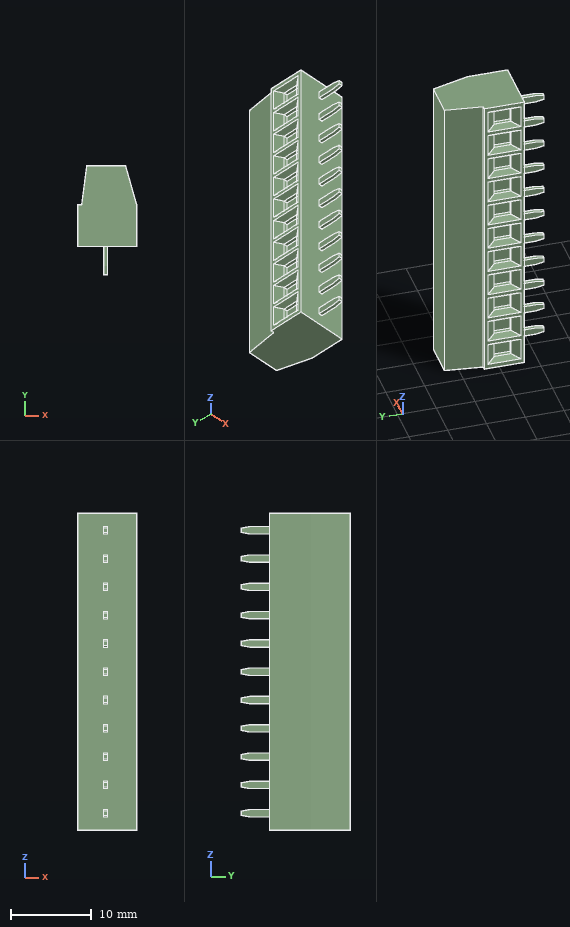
import cadquery as cq

length = 39.2
width = 7.3
depth = 10.0
pole_count = 11
end_margin = 2.1
pitch = (length - 2 * end_margin) / (pole_count - 1)

base_depth = 5.17
ledge = 0.47
entry_side_inset = 1.1
plain_side_inset = 1.37

rim = 0.47
entry_mouth_y = base_depth - 2 * rim
entry_mouth_z = 2.95
entry_throat_y = 2.15
entry_throat_z = 2.0
funnel_depth = 0.8
pocket_depth = 0.5

pin_length = 3.5
pin_thickness = 0.5
pin_width = 0.95
pin_tip_width = 0.55
pin_taper_length = 1.05
pin_x = 3.45

pole_heights = [end_margin + i * pitch for i in range(pole_count)]


def make_housing():
    """Prism along Z; wire-entry face at X = 0, pin face at Y = 0."""
    profile = [
        (0, 0),
        (width, 0),
        (width, base_depth),
        (width - plain_side_inset, depth),
        (entry_side_inset, depth),
        (ledge, base_depth),
        (0, base_depth),
    ]
    return cq.Workplane("XY").polyline(profile).close().extrude(length)


def make_entry(z):
    """Cutter for one wire entry, running in +X from the entry face."""
    mouth = cq.Workplane("YZ", origin=(0, base_depth / 2, z))
    funnel = (
        mouth.rect(entry_mouth_y, entry_mouth_z)
        .workplane(offset=funnel_depth)
        .rect(entry_throat_y, entry_throat_z)
        .loft(ruled=True)
    )
    pocket = mouth.rect(entry_throat_y, entry_throat_z).extrude(funnel_depth + pocket_depth)
    return funnel.union(pocket)


def make_pin(z):
    """Flat pin pointing in -Y, with its tip narrowed along Z."""
    half_width = pin_width / 2
    half_tip = pin_tip_width / 2
    taper_start = pin_taper_length - pin_length
    outline = [
        (0, -half_width),
        (taper_start, -half_width),
        (-pin_length, -half_tip),
        (-pin_length, half_tip),
        (taper_start, half_width),
        (0, half_width),
    ]
    plane = cq.Workplane("YZ", origin=(pin_x, 0, z))
    return plane.polyline(outline).close().extrude(pin_thickness / 2, both=True)


result = make_housing()
for pole_z in pole_heights:
    result = result.cut(make_entry(pole_z))
    result = result.union(make_pin(pole_z))